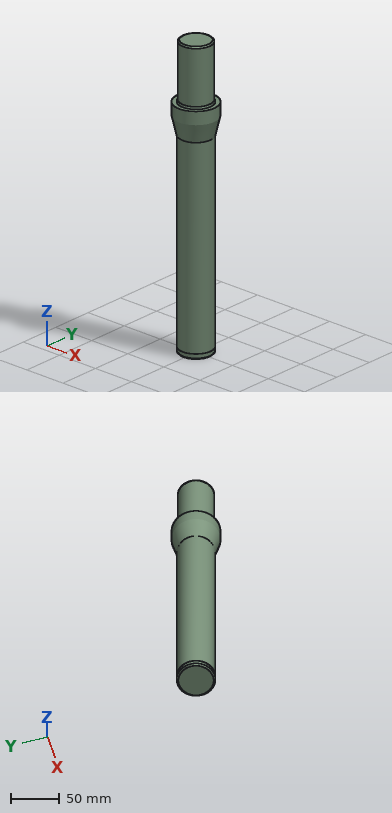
import cadquery as cq

total_length = 353.0
rod_radius = 19.0
rod_top_chamfer = 1.8

tube_radius = 20.0
collar_radius = 25.5
collar_top = 283.0
collar_height = 15.5
taper_height = 22.5
lip_height = 2.5
foot_chamfer = 1.8

foot_height = 6.7
foot_step = 0.18

collar_bottom = collar_top - collar_height
taper_bottom = collar_bottom - taper_height
lip_top = collar_top + lip_height
bore_floor = taper_bottom


def make_sleeve():
    """Turn the tube, taper, collar and lip, then bore the rod seat."""
    foot_radius = tube_radius - foot_step
    profile = [
        (0, 0),
        (foot_radius - foot_chamfer, 0),
        (foot_radius, foot_chamfer),
        (foot_radius, foot_height),
        (tube_radius, foot_height),
        (tube_radius, taper_bottom),
        (collar_radius, collar_bottom),
        (collar_radius, collar_top),
        (tube_radius, collar_top),
        (rod_radius, lip_top),
        (0, lip_top),
    ]
    body = cq.Workplane("XZ").polyline(profile).close().revolve(360, (0, 0), (0, 1))
    seat = cq.Workplane("XY").workplane(offset=bore_floor).circle(rod_radius).extrude(lip_top - bore_floor)
    return body.cut(seat)


def make_rod():
    """Plain round rod with a chamfered top edge."""
    rod = cq.Workplane("XY").workplane(offset=bore_floor).circle(rod_radius).extrude(total_length - bore_floor)
    return rod.faces(">Z").edges().chamfer(rod_top_chamfer)


sleeve = make_sleeve()
rod = make_rod()

result = cq.Compound.makeCompound([sleeve.val(), rod.val()])